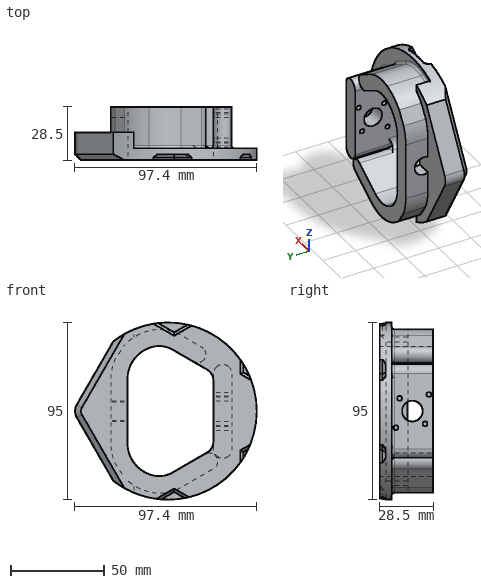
import cadquery as cq
import math

total_width = 97.4
disc_diameter = 95.0
disc_thickness = 6.4
point_slope = 60
point_radius = 6.7
point_chamfer = 3.2
block_depth = 14.9
block_edge_x = -18.3

total_depth = 28.5
wall = 9.1
wall_left_x = -30.8
shoulder_radius = 26.8
shoulder_z = 17.1
crown_radius = 23.4
crown_start_angle = 104
slope_angle = 60
flat_start_angle = 156
flat_end_angle = 137
upper_end_x = 15.5
lower_end_x = 21.8
foot_fillet = 1.5
opening_corner_radius = 6.6

plate_x = 24.2
plate_thickness = 9.8
plate_half_height = 20.2

motor_y = 17.4
shaft_hole = 11.0
screw_hole = 2.6
near_screw_offset = 6.8
far_screw_offset = 8.9

hexagon_x = 3.2
hexagon_z = -0.6
hexagon_radius = 40.9
notch_angles = (90, 30, -30, -90)
notch_wall_depth = 1.5
notch_depth = 3.2
notch_inset = 1.6
notch_side = 29.2

disc_radius = disc_diameter / 2
point_trim = point_radius * (1 / math.sin(math.radians(point_slope)) - 1)
sharp_tip_x = disc_radius - total_width - point_trim


def front_plane(y=0):
    """Workplane parallel to the front face; negative extrusions go deeper along +Y."""
    return cq.Workplane("XZ", origin=(0, y, 0))


def polar(center, radius, angle):
    turn = math.radians(angle)
    return (center[0] + radius * math.cos(turn), center[1] + radius * math.sin(turn))


def arc(path, center, radius, start, end):
    """Continue the path with the arc about the centre from the start angle to the end angle."""
    return path.threePointArc(polar(center, radius, (start + end) / 2), polar(center, radius, end))


def with_mirror_image(upper, lower):
    """Join a piece above Z = 0 with another one turned over to lie below it."""
    return upper.union(lower.mirror("XY"))


shoulder_center = (wall_left_x + shoulder_radius, shoulder_z)
crown_center = polar(shoulder_center, shoulder_radius - crown_radius, crown_start_angle)


def upper_outline(inset):
    """Path from the left wall over shoulder and crown to the sloping wall, moved inward by the inset."""
    left_x = wall_left_x + inset
    path = front_plane().moveTo(left_x, 0).lineTo(left_x, shoulder_z)
    path = arc(path, shoulder_center, shoulder_radius - inset, 180, crown_start_angle)
    return arc(path, crown_center, crown_radius - inset, crown_start_angle, slope_angle)


def slope_point(x, inset):
    """Point at the given X on the upper sloping wall, moved inward from its outer face."""
    start = polar(crown_center, crown_radius - inset, slope_angle)
    return (x, start[1] - (x - start[0]) / math.tan(math.radians(slope_angle)))


def half_opening():
    """Upper half of the hole through the flange and the tower."""
    corner = slope_point(plate_x, wall)
    path = upper_outline(wall).lineTo(*corner).lineTo(plate_x, 0).close()
    at_corner = cq.selectors.NearestToPointSelector((corner[0], total_depth / 2, corner[1]))
    return path.extrude(-total_depth).edges("|Y").edges(at_corner).fillet(opening_corner_radius)


def half_wall(end_x):
    """Upper half of the C, with a full round about the given X at its end. The inside stays filled."""
    end_center = slope_point(end_x, wall / 2)
    slope_start = polar(crown_center, crown_radius - wall, slope_angle)
    path = upper_outline(0).lineTo(*polar(end_center, wall / 2, slope_angle))
    path = arc(path, end_center, wall / 2, slope_angle, slope_angle - 180)
    return path.lineTo(*slope_start).lineTo(slope_start[0], 0).close().extrude(-total_depth)


def motor_plate():
    return (
        front_plane()
        .center(plate_x + plate_thickness / 2, 0)
        .slot2D(2 * plate_half_height + plate_thickness, plate_thickness, 90)
        .extrude(-total_depth)
    )


def on_disc(tower):
    """Stand a tower on the round disc, with a fillet around its foot."""
    body = front_plane().circle(disc_radius).extrude(-disc_thickness).union(tower)
    margin = 0.1
    reach = disc_radius - margin
    within_rim = cq.selectors.BoxSelector(
        (-reach, disc_thickness - margin, -reach),
        (reach, disc_thickness + margin, reach),
        boundingbox=True,
    )
    return body.edges(within_rim).fillet(foot_fillet)


def shoulder_flat():
    """Upper piece to cut away so that a flat crosses the shoulder arc behind the block."""
    clear_radius = shoulder_radius + wall
    return (
        front_plane(block_depth)
        .moveTo(*polar(shoulder_center, shoulder_radius, flat_start_angle))
        .lineTo(*polar(shoulder_center, clear_radius, flat_start_angle))
        .lineTo(*polar(shoulder_center, clear_radius, flat_end_angle))
        .lineTo(*polar(shoulder_center, shoulder_radius, flat_end_angle))
        .close()
        .extrude(block_depth - total_depth)
    )


def motor_holes():
    """Shaft hole across the whole tower, and four screw holes through the motor plate."""
    near = near_screw_offset
    far = far_screw_offset
    shaft = cq.Workplane("YZ", origin=(wall_left_x, motor_y, 0)).circle(shaft_hole / 2)
    screws = (
        cq.Workplane("YZ", origin=(plate_x, motor_y, 0))
        .pushPoints([(near, -near), (-near, near), (far, far), (-far, -far)])
        .circle(screw_hole / 2)
    )
    return shaft.extrude(2 * disc_radius).union(screws.extrude(plate_thickness))


def point_wedge():
    """Wedge with the rounded tip and chamfered front of the point, wide enough to hold the whole part."""
    far_x = 2 * disc_radius
    far_z = (far_x - sharp_tip_x) * math.tan(math.radians(point_slope))
    return (
        front_plane()
        .polyline([(sharp_tip_x, 0), (far_x, far_z), (far_x, -far_z)])
        .close()
        .extrude(-total_depth)
        .edges("|Y and <X")
        .fillet(point_radius)
        .faces("<Y")
        .chamfer(point_chamfer)
    )


def point_block():
    """Left part of the disc at full block depth, with its rim carried straight on to the sharp tip."""
    slope = math.radians(point_slope)
    side_distance = -sharp_tip_x * math.sin(slope)
    half_chord = math.sqrt(disc_radius**2 - side_distance**2)
    side_length = -sharp_tip_x * math.cos(slope) + half_chord
    rim_corner = polar((sharp_tip_x, 0), side_length, point_slope)
    edge_z = math.sqrt(disc_radius**2 - block_edge_x**2)
    rim_middle_angle = (math.degrees(math.atan2(rim_corner[1], rim_corner[0]))
                        + math.degrees(math.atan2(edge_z, block_edge_x))) / 2
    rim_middle = polar((0, 0), disc_radius, rim_middle_angle)
    half = (
        front_plane()
        .moveTo(sharp_tip_x, 0)
        .lineTo(*rim_corner)
        .threePointArc(rim_middle, (block_edge_x, edge_z))
        .lineTo(block_edge_x, 0)
        .close()
        .extrude(-block_depth)
    )
    return with_mirror_image(half, half)


def notch(angle):
    """Cutter for one 120 degree notch: a straight wall at the front and a sloping one behind it."""
    corner = polar((hexagon_x, hexagon_z), hexagon_radius, angle)
    outline = [corner, polar(corner, notch_side, angle + 60), polar(corner, notch_side, angle - 60)]
    slope_depth = notch_depth - notch_wall_depth
    taper = math.degrees(math.atan2(notch_inset, slope_depth))
    straight = front_plane().polyline(outline).close().extrude(-notch_wall_depth)
    sloping = front_plane(notch_wall_depth).polyline(outline).close().extrude(-slope_depth, taper=taper)
    return straight.union(sloping)


c_wall = with_mirror_image(half_wall(upper_end_x), half_wall(lower_end_x))
flats = with_mirror_image(shoulder_flat(), shoulder_flat())
opening = with_mirror_image(half_opening(), half_opening())
wedge = point_wedge()

tower = on_disc(c_wall).union(on_disc(motor_plate())).cut(flats).cut(motor_holes())
block = point_block().intersect(wedge).cut(opening)
result = tower.intersect(wedge).cut(opening).union(block)
for notch_angle in notch_angles:
    result = result.cut(notch(notch_angle))